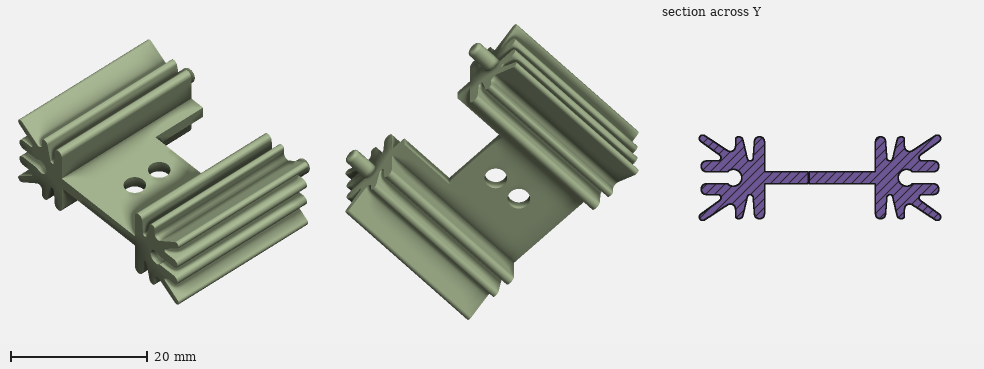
import cadquery as cq
import math

body_length = 25.4
web_thickness = 1.9
slot_width = 1.7

pin_diameter = 2.4
pin_spacing = 25.4
pin_projection = 4.0
pin_seat_depth = 4.0
pin_tip_radius = 0.5

notch_width = 11.0
notch_depth = 9.35
hole_diameter = 3.3
hole_positions_y = (7.12, 11.92)

inner_wall_x = 8.1
inner_fin_radius = 0.78
fin_top_z = 6.04
valley_radius = 0.4
valley_floor_z = 2.5
valley_x = 10.24
outer_fin_wall_x = 12.43
outer_fin_wall_radius = 0.45
outer_fin_flank_radius = 0.65
outer_fin_flank_center_x = 11.9
outer_valley_radius = 0.72
outer_valley_floor_z = 3.88
overall_width = 35.47
overall_height = 12.58
diagonal_tip_radius = 0.535
side_valley_x = 15.0
side_valley_radius = 0.45
horizontal_fin_reach = 17.465

bore_radius = pin_diameter / 2
pin_x = pin_spacing / 2
horizontal_fin_radius = (valley_floor_z - slot_width / 2) / 2


def quarter_circles():
    """Return (x, z, signed radius) along the +X +Z edge, from web to bore.

    Fin tips turn clockwise (negative), valleys counter-clockwise (positive),
    and a zero radius is a sharp corner.
    """
    return [
        (inner_wall_x, web_thickness / 2, 0),
        (inner_wall_x + inner_fin_radius, fin_top_z - inner_fin_radius, -inner_fin_radius),
        (valley_x, valley_floor_z + valley_radius, valley_radius),
        (
            outer_fin_flank_center_x,
            fin_top_z - outer_fin_flank_radius,
            -outer_fin_flank_radius,
        ),
        (
            outer_fin_wall_x - outer_fin_wall_radius,
            fin_top_z - outer_fin_wall_radius,
            -outer_fin_wall_radius,
        ),
        (
            outer_fin_wall_x + outer_valley_radius,
            outer_valley_floor_z + outer_valley_radius,
            outer_valley_radius,
        ),
        (
            overall_width / 2 - diagonal_tip_radius,
            overall_height / 2 - diagonal_tip_radius,
            -diagonal_tip_radius,
        ),
        (side_valley_x, valley_floor_z + side_valley_radius, side_valley_radius),
        (
            horizontal_fin_reach - horizontal_fin_radius,
            slot_width / 2 + horizontal_fin_radius,
            -horizontal_fin_radius,
        ),
        (pin_x, slot_width / 2, 0),
    ]


def outline_circles():
    """Circles of the complete outline, clockwise from the web's upper +X end.

    Mirroring reverses the sense of the turns, and reversing the order restores it.
    """
    upper = quarter_circles()
    right = upper + [(x, -z, radius) for x, z, radius in reversed(upper)]
    return right + [(-x, z, radius) for x, z, radius in reversed(right)]


def tangent_heading(start, end):
    """Heading of the straight line that leaves one circle and meets the next."""
    dx = end[0] - start[0]
    dz = end[1] - start[1]
    return math.atan2(dz, dx) - math.asin((end[2] - start[2]) / math.hypot(dx, dz))


def point_at_heading(circle, heading):
    """Point of a circle where travel along it has the given heading."""
    x, z, radius = circle
    return (x + radius * math.sin(heading), z - radius * math.cos(heading))


def body_outline():
    """Closed outline: tangent arcs joined by straight flanks."""
    circles = outline_circles()
    following = circles[1:] + circles[:1]
    leaving_headings = [tangent_heading(a, b) for a, b in zip(circles, following)]
    arriving_headings = leaving_headings[-1:] + leaving_headings[:-1]

    outline = cq.Workplane("XZ").moveTo(*circles[0][:2])
    stations = list(zip(circles, arriving_headings, leaving_headings))
    for circle, arriving, leaving in stations[1:]:
        outline = outline.lineTo(*point_at_heading(circle, arriving))
        radius = circle[2]
        if radius == 0:
            continue
        if radius > 0:
            turn = (leaving - arriving) % math.tau
        else:
            turn = -((arriving - leaving) % math.tau)
        outline = outline.threePointArc(
            point_at_heading(circle, arriving + turn / 2),
            point_at_heading(circle, leaving),
        )
    return outline.close()


def extruded_body():
    body = body_outline().extrude(-body_length)
    bores = (
        cq.Workplane("XZ")
        .pushPoints([(-pin_x, 0), (pin_x, 0)])
        .circle(bore_radius)
        .extrude(-body_length)
    )
    return body.cut(bores)


def web_notch():
    return cq.Workplane("XY", origin=(0, body_length - notch_depth, 0)).box(
        notch_width, notch_depth, web_thickness, centered=(True, False, True)
    )


def web_holes():
    return (
        cq.Workplane("XY", origin=(0, 0, -web_thickness / 2))
        .pushPoints([(0, y) for y in hole_positions_y])
        .circle(hole_diameter / 2)
        .extrude(web_thickness)
    )


def solder_pin(x):
    return (
        cq.Workplane("XZ", origin=(x, body_length - pin_seat_depth, 0))
        .circle(pin_diameter / 2)
        .extrude(-(pin_seat_depth + pin_projection))
        .faces(">Y")
        .edges()
        .fillet(pin_tip_radius)
    )


result = extruded_body().cut(web_notch()).cut(web_holes())
for side in (-1, 1):
    result = result.union(solder_pin(side * pin_x))